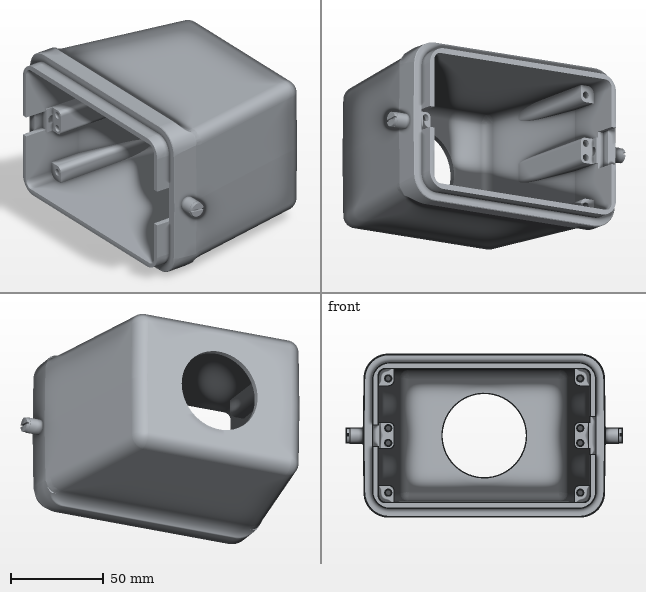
import cadquery as cq
import math


shell_end_y = 98.0
shell_half_z = 39.4
shell_fillet = 7.0
side_slope = 11.0
side_inset = 0.7

collar_half_x = 65.75
collar_shoulder_half_x = 65.55
collar_shoulder_y = 15.0
collar_half_z = 44.25
collar_corner = 13.4
collar_edge_round = 0.8
collar_bottom_chamfer = 0.4
flare_radius = 10.0
flare_end_y = 18.3

skirt_height = 8.0
skirt_half_x = 60.65
skirt_half_z = 39.55
skirt_corner = 9.3
skirt_draft = 1.0

floor_y = 94.5
mouth_half_x = 57.6
mouth_half_z = 36.45
bend_half_x = 57.0
bend_y = 27.0
floor_half_x = 44.6
floor_half_z = 35.5
cavity_corner = 4.0
floor_fillet = 5.0
cable_hole_dia = 45.7

post_end_y = 9.0
post_inner_x = 49.0
post_outer_x = 56.5
corner_post_inner_z = 27.0
middle_post_half_z = 7.1
corner_post_round = 3.0
middle_post_round = 2.5
post_root = 1.5
screw_x = 52.1
corner_screw_z = 31.0
middle_screw_z = 4.0
screw_end_dia = 3.14
screw_mouth_dia = 3.85
screw_depth = 20.0

pin_y = 8.6
pin_dia = 8.4
pin_tip_dia = 8.0
pin_tip_length = 2.0
pin_end_x = 75.0
pin_root_x = 62.0
pin_slot_width = 1.2
pin_slot_depth = 1.2
pin_slot_tilt = 6.0
pin_bore_dia = 4.9

left_notch_half_z = 5.8
right_notch_half_z = 10.35
notch_floor_y = 5.0

small = 0.1


def box(x0, x1, y0, y1, z0, z1):
    return cq.Workplane("XY").box(x1 - x0, y1 - y0, z1 - z0, centered=False).translate((x0, y0, z0))


def xz_plane(y):
    """Workplane at height y, facing +Y, with local x = X and local y = -Z."""
    return cq.Workplane(cq.Plane(origin=(0, y, 0), xDir=(1, 0, 0), normal=(0, 1, 0)))


def ridged_block():
    """Block with drafted X sides, each ridged at z = 0: four sheared quarters that overlap at x = 0."""
    end_half_x = collar_shoulder_half_x - (shell_end_y - collar_shoulder_y) * math.tan(math.radians(side_slope))
    outline = cq.Wire.makePolygon(
        [
            cq.Vector(-2 * side_inset, 0),
            cq.Vector(collar_half_x, 0),
            cq.Vector(collar_shoulder_half_x, collar_shoulder_y),
            cq.Vector(end_half_x, shell_end_y),
            cq.Vector(-2 * side_inset, shell_end_y),
        ],
        close=True,
    )
    shear = cq.Vector(-side_inset, 0, collar_half_z)
    quarter = cq.Workplane(cq.Solid.extrudeLinear(outline, [], shear))
    upper = quarter.union(quarter.mirror("YZ"))
    return upper.union(upper.mirror("XY")).clean()


def flare_prism():
    """Prism along X: straight shell walls that curve outward into the collar."""
    rise = collar_half_z - shell_half_z
    across = flare_radius - rise
    flare_start_y = flare_end_y - math.sqrt(flare_radius**2 - across**2)
    half_angle = math.acos(across / flare_radius) / 2
    mid_z = shell_half_z + flare_radius * (1 - math.cos(half_angle))
    mid_y = flare_end_y - flare_radius * math.sin(half_angle)
    return (
        cq.Workplane("YZ")
        .moveTo(0, -collar_half_z)
        .lineTo(flare_start_y, -collar_half_z)
        .threePointArc((mid_y, -mid_z), (flare_end_y, -shell_half_z))
        .lineTo(shell_end_y, -shell_half_z)
        .lineTo(shell_end_y, shell_half_z)
        .lineTo(flare_end_y, shell_half_z)
        .threePointArc((mid_y, mid_z), (flare_start_y, collar_half_z))
        .lineTo(0, collar_half_z)
        .close()
        .extrude(collar_half_x, both=True)
    )


def collar_outline():
    """Ridged rectangle with rounded corners, as tall as the shell."""
    corner_x = collar_half_x - side_inset
    points = [
        (collar_half_x, 0), (corner_x, collar_half_z), (-corner_x, collar_half_z),
        (-collar_half_x, 0), (-corner_x, -collar_half_z), (corner_x, -collar_half_z),
    ]
    prism = xz_plane(0).polyline(points).close().extrude(shell_end_y)
    corners = prism.edges("|Y").edges(">Z or <Z")
    return corners.fillet(collar_corner).faces("<Y").edges().chamfer(collar_bottom_chamfer)


def shell():
    """Outer body: rounded shell growing into a collar whose X sides stay flat up to the shoulder."""
    block = ridged_block().intersect(flare_prism())
    corner_edges = block.edges().filter(
        lambda edge: abs(edge.Center().z) > shell_half_z - small and abs(edge.Center().x) > small
    )
    end_edges = block.faces(">Y").edges()
    outline = collar_outline()
    rounded = corner_edges.add(end_edges).fillet(shell_fillet).intersect(outline)
    below_shoulder = box(
        -collar_half_x, collar_half_x, 0, collar_shoulder_y, -collar_half_z, collar_half_z
    )
    body = rounded.union(block.intersect(outline).intersect(below_shoulder))
    flare_edges = body.edges("|X").filter(
        lambda edge: edge.Center().y > collar_shoulder_y / 2
        and abs(edge.Center().z) > collar_half_z - small
    )
    return flare_edges.fillet(collar_edge_round)


def skirt():
    """Thin-walled rim below the collar, tapering slightly toward its free end."""
    return (
        xz_plane(0)
        .sketch()
        .rect(2 * skirt_half_x, 2 * skirt_half_z)
        .vertices()
        .fillet(skirt_corner)
        .finalize()
        .extrude(-skirt_height, taper=skirt_draft)
    )


def cavity():
    """Hollow interior: drafted in Z, steeper in X beyond the bend."""
    plan = [
        (mouth_half_x, -skirt_height),
        (bend_half_x, bend_y),
        (floor_half_x, floor_y),
    ]
    plan += [(-x, y) for x, y in reversed(plan)]
    section = [
        (-skirt_height, mouth_half_z),
        (floor_y, floor_half_z),
        (floor_y, -floor_half_z),
        (-skirt_height, -mouth_half_z),
    ]
    hollow = (
        cq.Workplane("XY").polyline(plan).close().extrude(mouth_half_z, both=True)
        .intersect(cq.Workplane("YZ").polyline(section).close().extrude(mouth_half_x, both=True))
    )
    hollow = hollow.faces(">Y").edges().fillet(floor_fillet)
    corner_edges = hollow.edges().filter(
        lambda edge: abs(edge.Center().x) > small
        and abs(edge.Center().z) > small
        and edge.Center().y < floor_y - floor_fillet
    )
    return corner_edges.fillet(cavity_corner)


def post(z0, z1, inner_edges, round_radius):
    """Post on the +X side, rounded on its inner edges and sunk into the wall."""
    block = box(post_inner_x, mouth_half_x + post_root, post_end_y, floor_y, z0, z1)
    return block.edges("|Y").edges("<X").edges(inner_edges).fillet(round_radius)


def posts():
    """Two corner posts, a middle post and the wall pad beside it, on each X side."""
    corner = post(corner_post_inner_z, mouth_half_z + post_root, "<Z", corner_post_round)
    middle = post(-middle_post_half_z, middle_post_half_z, "<Z or >Z", middle_post_round)
    pad = box(
        post_outer_x, mouth_half_x + post_root,
        notch_floor_y, post_end_y,
        -middle_post_half_z, middle_post_half_z,
    )
    side = [middle, pad, corner, corner.mirror("XY")]
    return side + [item.mirror("YZ") for item in side]


def screw_holes():
    """Blind tapered screw holes in the ends of the posts."""
    profile = [
        (0, 0),
        (screw_mouth_dia / 2, 0),
        (screw_end_dia / 2, screw_depth),
        (0, screw_depth),
    ]
    hole = cq.Workplane("XY").polyline(profile).close().revolve(360, (0, 0), (0, 1))
    holes = cq.Workplane("XY")
    for x in (-screw_x, screw_x):
        for z in (-corner_screw_z, -middle_screw_z, middle_screw_z, corner_screw_z):
            holes = holes.add(hole.translate((x, post_end_y, z)))
    return holes.combine()


def pin():
    """Latch pin on the +X side, with a reduced, slotted tip."""
    axis = cq.Workplane("YZ", origin=(pin_root_x, pin_y, 0))
    body_length = pin_end_x - pin_tip_length - pin_root_x
    body = axis.circle(pin_dia / 2).extrude(body_length)
    tip = axis.circle(pin_tip_dia / 2).extrude(pin_end_x - pin_root_x)
    slot = (
        cq.Workplane("YZ", origin=(pin_end_x - pin_slot_depth, pin_y, 0))
        .transformed(rotate=(0, 0, -pin_slot_tilt))
        .rect(2 * pin_dia, pin_slot_width)
        .extrude(pin_slot_depth)
    )
    return body.union(tip).cut(slot)


def notch(half_z):
    """Gap through the skirt on the +X side, sunk into the collar."""
    return box(post_outer_x, skirt_half_x, -skirt_height, notch_floor_y, -half_z, half_z)


def pin_bores():
    """Bores toward the pin roots, beside the middle posts."""
    length = pin_root_x - post_outer_x
    bore = cq.Workplane("YZ", origin=(post_outer_x, pin_y, 0)).circle(pin_bore_dia / 2).extrude(length)
    return bore.union(bore.mirror("YZ"))


def cable_hole():
    return xz_plane(0).circle(cable_hole_dia / 2).extrude(shell_end_y)


hollow = cavity()
for item in posts():
    hollow = hollow.cut(item)
result = shell().union(skirt()).cut(hollow)
result = result.cut(screw_holes())
result = result.cut(notch(left_notch_half_z).mirror("YZ")).cut(notch(right_notch_half_z))
result = result.cut(pin_bores()).cut(cable_hole())
result = result.union(pin()).union(pin().mirror("YZ"))